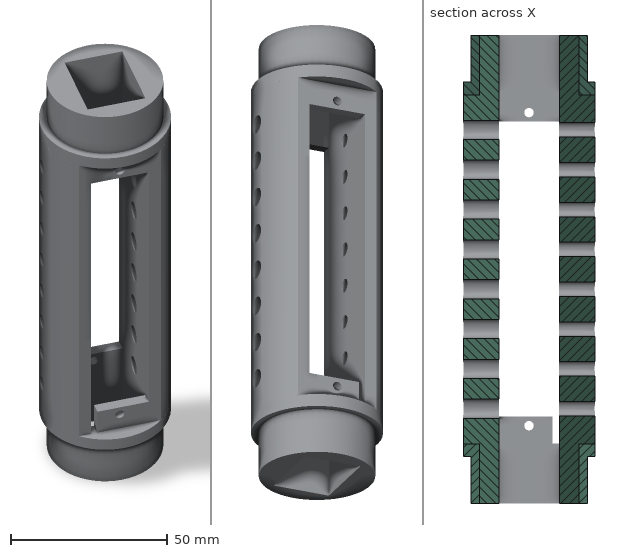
import cadquery as cq

total_length = 150.0
body_diameter = 42.3
sleeve_diameter = 37.4
sleeve_length = 15.0
flange_thickness = 4.2
cap_length = sleeve_length + flange_thickness

shell_gap = 19.4
shell_width = 32.1
shell_length = total_length - 2 * cap_length

spigot_width = 24.9
spigot_diameter = 31.6

hole_count = 8
hole_pitch = 12.8
front_hole_diameter = 4.5
rear_hole_diameter = 6.0

tab_height = 8.5
tab_thickness = (shell_width - spigot_width) / 2
tab_hole_diameter = 3.0
tab_hole_height = 5.7
bottom_tab_clearance = 2.1


def disc(diameter, bottom, height):
    """Round disc on the Z axis."""
    return cq.Workplane("XY").workplane(offset=bottom).circle(diameter / 2).extrude(height)


def centred_box(width, depth, bottom, height):
    """Rectangular block on the Z axis."""
    return cq.Workplane("XY").workplane(offset=bottom).rect(width, depth).extrude(height)


def make_tab(side, clearance):
    """Drilled tab on the flange; clearance shortens its end on the -Y side."""
    tab = cq.Workplane("XY").box(
        tab_thickness, shell_gap - clearance, tab_height, centered=(True, True, False)
    )
    tab = tab.translate((side * (spigot_width + tab_thickness) / 2, clearance / 2, cap_length))
    hole = (
        cq.Workplane("YZ")
        .center(0, cap_length + tab_hole_height)
        .circle(tab_hole_diameter / 2)
        .extrude(body_diameter / 2, both=True)
    )
    return tab.cut(hole)


def make_end_cap(tab_clearance):
    """Sleeve, flange and two tabs, standing with the sleeve at the bottom."""
    sleeve = disc(sleeve_diameter, 0, sleeve_length)
    flange = disc(body_diameter, sleeve_length, flange_thickness)
    bore = disc(spigot_diameter, 0, cap_length).intersect(
        centred_box(spigot_width, body_diameter, 0, cap_length)
    )
    cap = sleeve.union(flange).cut(bore)
    for side in (-1, 1):
        cap = cap.union(make_tab(side, tab_clearance))
    return cap


def make_half_shell(side, hole_diameter):
    """Shell on one side of the gap, with spigots that fill the cap bores."""
    barrel = disc(body_diameter, cap_length, shell_length).intersect(
        centred_box(shell_width, body_diameter, cap_length, shell_length)
    )
    spigots = disc(spigot_diameter, 0, total_length).intersect(
        centred_box(spigot_width, body_diameter, 0, total_length)
    )
    half_space = cq.Workplane("XY").box(
        body_diameter, body_diameter, total_length, centered=(True, True, False)
    ).translate((0, side * (shell_gap + body_diameter) / 2, 0))
    holes = (
        cq.Workplane("XZ")
        .center(0, total_length / 2)
        .rarray(1.5, hole_pitch, 1, hole_count)
        .circle(hole_diameter / 2)
        .extrude(body_diameter, both=True)
    )
    return barrel.union(spigots).intersect(half_space).cut(holes)


bottom_cap = make_end_cap(bottom_tab_clearance)
top_cap = make_end_cap(0).mirror("XY").translate((0, 0, total_length))
front_shell = make_half_shell(-1, front_hole_diameter)
rear_shell = make_half_shell(1, rear_hole_diameter)

result = cq.Compound.makeCompound(
    [bottom_cap.val(), top_cap.val(), front_shell.val(), rear_shell.val()]
)